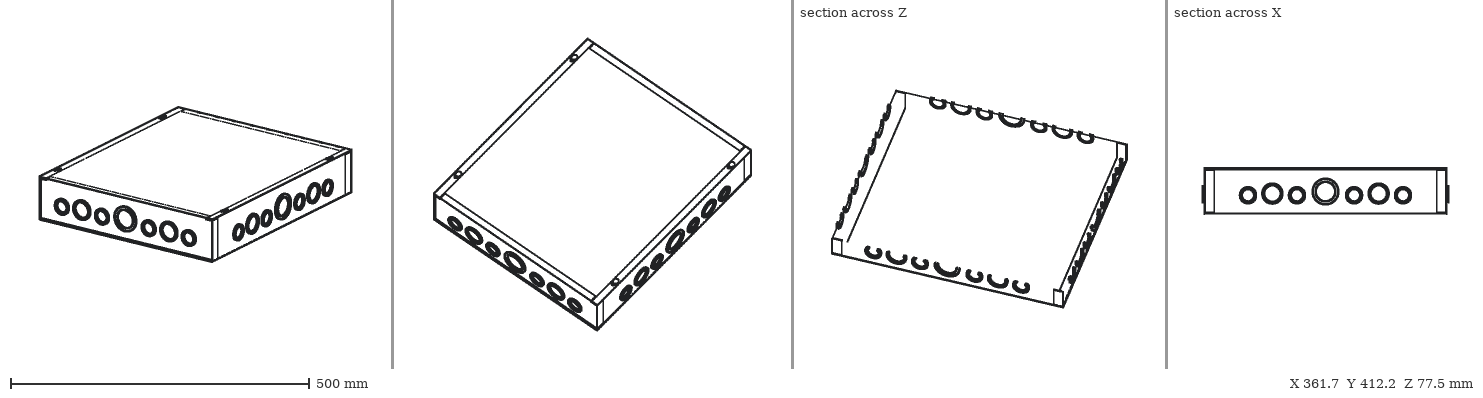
import cadquery as cq
box_width = 355.5
box_length = 406.0
box_height = 77.5
sheet = 1.5
cover_thickness = 1.45
shell_height = box_height - cover_thickness
inner_radius = 1.0
bend_radius = inner_radius + sheet

flange_width = 12.8
return_depth = 17.0
top_flange_inset = 14.5
end_raise = 2.0

emboss_height = 3.1
small_knockout = {"outer": 28.5 / 2, "inner": 19.5 / 2, "height": 31.8}
medium_knockout = {"outer": 35.0 / 2, "inner": 26.5 / 2, "height": 34.5}
large_knockout = {"outer": 44.5 / 2, "inner": 31.5 / 2, "height": 38.0}
wall_knockouts = [
    (0, large_knockout),
    (48.0, small_knockout),
    (89.0, medium_knockout),
    (130.0, small_knockout),
]

keyhole_edge_distance = 7.0
keyhole_spacing = 306.0
keyhole_shift = -7.5
keyhole_head_radius = 5.0
keyhole_slot_radius = 3.0
keyhole_slot_rise = 7.5
screw_hole_radius = 2.5


def block(x_min, x_max, y_min, y_max, z_min, z_max):
    """Box given by its limits along each axis."""
    size = (x_max - x_min, y_max - y_min, z_max - z_min)
    return cq.Workplane("XY").box(*size, centered=False).translate((x_min, y_min, z_min))


def disc(radius, height, depth_from, depth_to):
    """Disc on a wall facing -Y, between two distances outward from the wall's outer face."""
    return (
        cq.Workplane("XZ", origin=(0, -depth_from, height))
        .circle(radius)
        .extrude(depth_to - depth_from)
    )


def emboss_knockout(wall, position, knockout):
    """Press one ring outward from a wall whose outer face is at y = 0, facing -Y."""
    outer = knockout["outer"]
    inner = knockout["inner"]
    height = knockout["height"]
    groove_top = emboss_height - sheet
    ridge = disc(outer, height, 0, emboss_height).cut(disc(inner, height, 0, emboss_height))
    groove = disc(outer - sheet, height, -sheet, groove_top).cut(
        disc(inner + sheet, height, -sheet, groove_top)
    )
    shift = (position, 0, 0)
    return wall.union(ridge.translate(shift)).cut(groove.translate(shift))


def emboss_wall(wall):
    """Press the full row of knockouts into a wall whose outer face is at y = 0, facing -Y."""
    for offset, knockout in wall_knockouts:
        for position in sorted({offset, -offset}):
            wall = emboss_knockout(wall, position, knockout)
    return wall


def keyhole_points():
    """Centres of the four keyhole heads."""
    x = box_width / 2 - keyhole_edge_distance
    y = keyhole_spacing / 2
    return [(side * x, end * y + keyhole_shift) for side in (-1, 1) for end in (-1, 1)]


def rounded_bar(width, height, radius):
    """Bar along the box length with its four long edges rounded."""
    return (
        cq.Workplane("XZ")
        .rect(width, height)
        .extrude(box_length / 2, both=True)
        .edges("|Y")
        .fillet(radius)
    )


def make_wrapper():
    """Floor, two side walls and two inward flanges, bent from one sheet."""
    outside = rounded_bar(box_width, shell_height, bend_radius)
    inside = rounded_bar(box_width - 2 * sheet, shell_height - 2 * sheet, inner_radius)
    tube = outside.cut(inside).translate((0, 0, shell_height / 2))
    half_opening = box_width / 2 - flange_width
    half_length = box_length / 2
    wrapper = tube.cut(
        block(-half_opening, half_opening, -half_length, half_length, shell_height / 2, shell_height)
    )
    for turn in (-90, 90):
        wrapper = wrapper.rotate((0, 0, 0), (0, 0, 1), -turn).translate((0, box_width / 2, 0))
        wrapper = emboss_wall(wrapper)
        wrapper = wrapper.translate((0, -box_width / 2, 0)).rotate((0, 0, 0), (0, 0, 1), turn)
    screw_holes = (
        cq.Workplane("XY", origin=(0, keyhole_slot_rise, shell_height - sheet))
        .pushPoints(keyhole_points())
        .circle(screw_hole_radius)
        .extrude(sheet)
    )
    return wrapper.cut(screw_holes)


def rounded_pan(half_width, front, back, bottom, top, radius):
    """Block with its front edges and its two lower lengthwise edges rounded."""
    pan = block(-half_width, half_width, front, back, bottom, top)
    return pan.edges("<Y or (|Y and <Z)").fillet(radius)


def make_end_panel():
    """Front end panel: a shallow pan with return flanges, its outer face at y = 0."""
    half_width = box_width / 2 - sheet
    open_end = return_depth + bend_radius
    outside = rounded_pan(half_width, 0, open_end, end_raise, shell_height, bend_radius)
    inside = rounded_pan(
        half_width - sheet, sheet, open_end, end_raise + sheet, shell_height - sheet, inner_radius
    )
    pan = outside.cut(inside)
    pan = pan.intersect(block(-half_width, half_width, 0, return_depth, 0, shell_height))

    bend_line = shell_height - bend_radius
    pan = pan.cut(
        block(-half_width, half_width, flange_width, return_depth, bend_line, shell_height)
    )
    half_flange = box_width / 2 - top_flange_inset
    for x_min, x_max in ((-half_width, -half_flange), (half_flange, half_width)):
        pan = pan.cut(block(x_min, x_max, 0, return_depth, bend_line, shell_height))

    pan = emboss_wall(pan.translate((0, 0, -end_raise)))
    return pan.translate((0, 0, end_raise))


def make_cover():
    """Flat cover with four keyholes."""
    half_width = box_width / 2
    half_length = box_length / 2
    cover = block(-half_width, half_width, -half_length, half_length, shell_height, box_height)
    heads = (
        cq.Workplane("XY", origin=(0, 0, shell_height))
        .pushPoints(keyhole_points())
        .circle(keyhole_head_radius)
        .extrude(cover_thickness)
    )
    slot_length = keyhole_slot_rise + 2 * keyhole_slot_radius
    slots = (
        cq.Workplane("XY", origin=(0, keyhole_slot_rise / 2, shell_height))
        .pushPoints(keyhole_points())
        .slot2D(slot_length, 2 * keyhole_slot_radius, 90)
        .extrude(cover_thickness)
    )
    return cover.cut(heads).cut(slots)


wrapper = make_wrapper()
cover = make_cover()
front_panel = make_end_panel().translate((0, -box_length / 2, 0))
end_panels = [front_panel.rotate((0, 0, 0), (0, 0, 1), turn) for turn in (0, 180)]

result = cq.Compound.makeCompound(
    [
        *wrapper.solids().vals(),
        *cover.solids().vals(),
        *[panel.solids().val() for panel in end_panels],
    ]
)